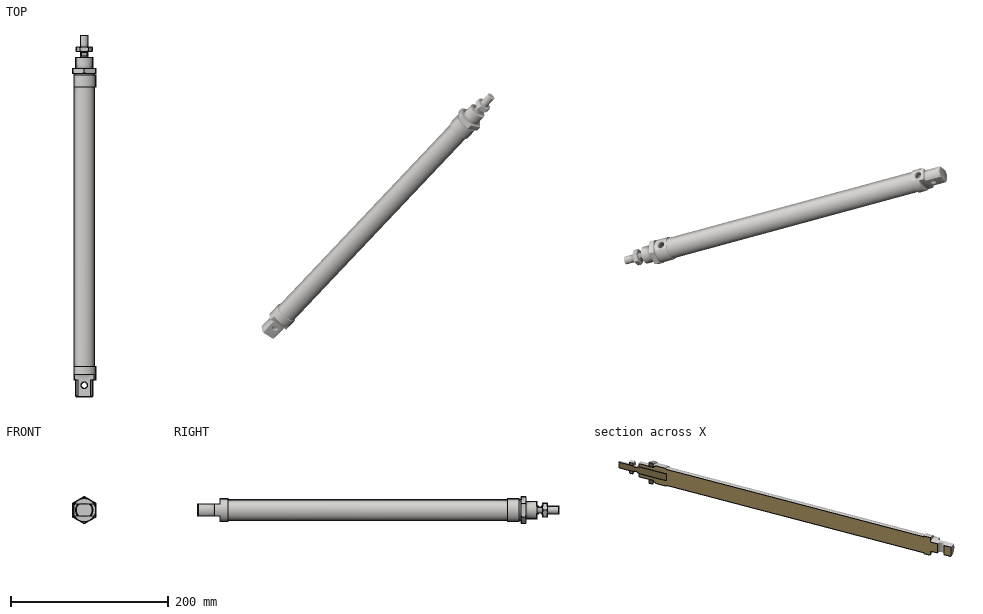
import cadquery as cq
import math

TOTAL_LENGTH = 460.0

TONGUE_DIAMETER = 22.0
TONGUE_THICKNESS = 15.5
TONGUE_CHAMFER = 1.0
PIN_HOLE_DIAMETER = 8.0
PIN_HOLE_Y = 14.5
REAR_PORT_BLOCK_Y = 21.5
REAR_CAP_Y = 28.5
REAR_CAP_END_Y = 38.5

BARREL_DIAMETER = 26.5
CAP_DIAMETER = 29.5
FRONT_CAP_Y = 394.0
FRONT_CAP_END_Y = 409.5
COLLAR_DIAMETER = 26.5
COLLAR_END_Y = 411.5

PORT_FLAT_X = -13.5
PORT_DIAMETER = 8.7
PORT_MOUTH_DIAMETER = 10.0
PORT_CHAMFER = (PORT_MOUTH_DIAMETER - PORT_DIAMETER) / 2
REAR_PORT_DEPTH = 7.5
FRONT_PORT_DEPTH = -PORT_FLAT_X
REAR_PORT_Y = 30.0
FRONT_PORT_Y = 402.0

NECK_DIAMETER = 22.0
NECK_END_Y = 432.0
MOUNTING_NUT_FLATS = 30.0
MOUNTING_NUT_THICKNESS = 6.5

ROD_DIAMETER = 10.0
ROD_SOCKET_Y = FRONT_CAP_Y
ROD_FLATS_WIDTH = 8.0
ROD_FLATS_START_Y = 434.0
ROD_FLATS_END_Y = 438.0
ROD_NUT_FLATS = 18.0
ROD_NUT_Y = 439.5
ROD_NUT_THICKNESS = 6.0
ROD_NUT_TURN = 30.0
NUT_CORNER_CHAMFER = 1.0


def rod_along_y(diameter, start, end):
    """Round bar on the Y axis between two Y positions."""
    plane = cq.Workplane("XZ", origin=(0, start, 0))
    return plane.circle(diameter / 2).extrude(start - end)


def slab(width_x, width_z, start, end):
    """Rectangular bar centred on the Y axis between two Y positions."""
    middle = (start + end) / 2
    return cq.Workplane("XY").box(width_x, end - start, width_z).translate((0, middle, 0))


def hex_nut(across_flats, bore, start, thickness):
    """Hexagon nut on the Y axis with corners up and down, the corners bevelled at both ends."""
    corner_diameter = 2 * across_flats / math.sqrt(3)
    plane = cq.Workplane("XZ", origin=(0, start, 0)).transformed(rotate=(0, 0, 90))
    nut = plane.polygon(6, corner_diameter).circle(bore / 2).extrude(-thickness)
    envelope = rod_along_y(corner_diameter, start, start + thickness)
    return nut.intersect(envelope.edges("%CIRCLE").chamfer(NUT_CORNER_CHAMFER))


def clevis_tongue():
    """Round stub with a bevelled end, flattened above and below, with a pin hole."""
    stub = rod_along_y(TONGUE_DIAMETER, 0, REAR_CAP_Y).faces("<Y").chamfer(TONGUE_CHAMFER)
    stub = stub.intersect(slab(TONGUE_DIAMETER, TONGUE_THICKNESS, 0, REAR_CAP_Y))
    pin_hole = (
        cq.Workplane("XY", origin=(0, PIN_HOLE_Y, 0))
        .circle(PIN_HOLE_DIAMETER / 2)
        .extrude(TONGUE_THICKNESS / 2, both=True)
    )
    return stub.cut(pin_hole)


def cut_port_flat(cap, start, end):
    """Trim the -X side of a cap flat."""
    flat = slab(CAP_DIAMETER, CAP_DIAMETER, start, end)
    return cap.cut(flat.translate((PORT_FLAT_X - CAP_DIAMETER / 2, 0, 0)))


def rear_cap():
    """Cap whose port block reaches back along the tongue."""
    block = rod_along_y(CAP_DIAMETER, REAR_PORT_BLOCK_Y, REAR_CAP_Y)
    block = block.intersect(slab(CAP_DIAMETER, TONGUE_THICKNESS, REAR_PORT_BLOCK_Y, REAR_CAP_Y))
    cap = rod_along_y(CAP_DIAMETER, REAR_CAP_Y, REAR_CAP_END_Y).union(block)
    return cut_port_flat(cap, REAR_PORT_BLOCK_Y, REAR_CAP_END_Y)


def front_cap():
    """Cap with a short collar that the mounting nut seats on."""
    cap = rod_along_y(CAP_DIAMETER, FRONT_CAP_Y, FRONT_CAP_END_Y)
    cap = cut_port_flat(cap, FRONT_CAP_Y, FRONT_CAP_END_Y)
    return cap.union(rod_along_y(COLLAR_DIAMETER, FRONT_CAP_END_Y, COLLAR_END_Y))


def port_bore(port_y, depth):
    """Space of a port hole with a countersunk mouth, sunk from the flat toward +X."""
    profile = [
        (PORT_FLAT_X, 0),
        (PORT_FLAT_X, PORT_MOUTH_DIAMETER / 2),
        (PORT_FLAT_X + PORT_CHAMFER, PORT_DIAMETER / 2),
        (PORT_FLAT_X + depth, PORT_DIAMETER / 2),
        (PORT_FLAT_X + depth, 0),
    ]
    bore = cq.Workplane("XY").polyline(profile).close().revolve(360, (0, 0, 0), (1, 0, 0))
    return bore.translate((0, port_y, 0))


def make_housing():
    """Barrel with both caps, clevis tongue and threaded neck."""
    body = rod_along_y(BARREL_DIAMETER, REAR_CAP_END_Y, FRONT_CAP_Y)
    body = body.union(rear_cap()).union(clevis_tongue()).union(front_cap())
    body = body.union(rod_along_y(NECK_DIAMETER, COLLAR_END_Y, NECK_END_Y))
    body = body.cut(port_bore(REAR_PORT_Y, REAR_PORT_DEPTH))
    body = body.cut(port_bore(FRONT_PORT_Y, FRONT_PORT_DEPTH))
    return body.cut(rod_along_y(ROD_DIAMETER, ROD_SOCKET_Y, NECK_END_Y))


def make_piston_rod():
    """Rod with a pair of wrench flats above and below."""
    rod = rod_along_y(ROD_DIAMETER, ROD_SOCKET_Y, TOTAL_LENGTH)
    ring = slab(ROD_DIAMETER, ROD_DIAMETER, ROD_FLATS_START_Y, ROD_FLATS_END_Y)
    core = slab(ROD_DIAMETER, ROD_FLATS_WIDTH, ROD_FLATS_START_Y, ROD_FLATS_END_Y)
    return rod.cut(ring.cut(core))


housing = make_housing()
piston_rod = make_piston_rod()
mounting_nut = hex_nut(MOUNTING_NUT_FLATS, NECK_DIAMETER, COLLAR_END_Y, MOUNTING_NUT_THICKNESS)
rod_nut = hex_nut(ROD_NUT_FLATS, ROD_DIAMETER, ROD_NUT_Y, ROD_NUT_THICKNESS)
rod_nut = rod_nut.rotate((0, 0, 0), (0, 1, 0), ROD_NUT_TURN)

result = cq.Compound.makeCompound(
    [housing.val(), piston_rod.val(), mounting_nut.val(), rod_nut.val()]
)